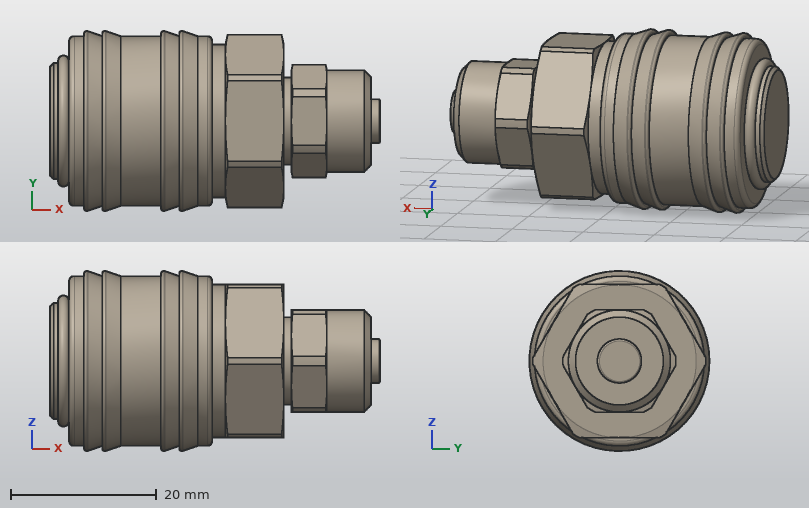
import cadquery as cq
import math


bead_start = 1.1
sleeve_start = 2.6
sleeve_end = 22.25
hex_start = 24.05
hex_end = 32.05
nut_start = 33.1
nut_hex_end = 37.95
nut_end = 44.02
stem_end = 45.24

cap_diameter = 15.95
cap_chamfer = 0.5
bead_diameter = 18.0
bead_radius = (sleeve_start - bead_start) / 2
bead_center = bead_start + bead_radius

sleeve_diameter = 23.3
sleeve_fillet = 0.7
rib_diameter = 24.73
rib_nose_radius = 0.4
rib_slope = math.radians(19)
rib_pitch = 2.5
rib_pair_starts = (4.65, 15.2)

collar_diameter = 21.0
hex_across_flats = 21.0
hex_corner_diameter = 23.73
hex_chamfer_length = 0.3
neck_diameter = 12.0
stem_diameter = 6.05
stem_fillet = 0.25

nut_diameter = 14.0
nut_hex_corner_diameter = 15.5
nut_hex_chamfer_length = 0.15
nut_end_chamfer = 0.97


def cylinder(start, end, diameter):
    """Solid cylinder on the X axis between two stations."""
    return cq.Workplane("YZ").workplane(offset=start).circle(diameter / 2).extrude(end - start)


def revolve_about_x(outline):
    """Revolve a closed outline, drawn as (station, radius), about the X axis."""
    return outline.close().revolve(360, (0, 0, 0), (1, 0, 0))


def hexagon(start, end, across_flats, corner_diameter, chamfer_length):
    """Hexagon with flats facing +Z and -Z, corners turned down and both ends coned."""
    corner_to_corner = across_flats / math.cos(math.pi / 6)
    prism = cq.Workplane("YZ").workplane(offset=start).polygon(6, corner_to_corner).extrude(end - start)
    flat_radius = across_flats / 2
    corner_radius = corner_diameter / 2
    turned_blank = revolve_about_x(
        cq.Workplane("XY")
        .moveTo(start, 0)
        .lineTo(start, flat_radius)
        .lineTo(start + chamfer_length, corner_radius)
        .lineTo(end - chamfer_length, corner_radius)
        .lineTo(end, flat_radius)
        .lineTo(end, 0)
    )
    return prism.intersect(turned_blank)


def bead():
    """Ring with a round crest that curls down onto the cap and meets the sleeve face."""
    cap_radius = cap_diameter / 2
    crest_radius = bead_diameter / 2
    center_radius = crest_radius - bead_radius
    foot_x = bead_center - math.sqrt(bead_radius**2 - (center_radius - cap_radius) ** 2)
    return revolve_about_x(
        cq.Workplane("XY")
        .moveTo(foot_x, 0)
        .lineTo(foot_x, cap_radius)
        .threePointArc((bead_center, crest_radius), (sleeve_start, center_radius))
        .lineTo(sleeve_start, 0)
    )


def grip_rib(start):
    """Saw-tooth ring: upright front, rounded nose, and a slope down to the sleeve."""
    nose_x = start + rib_nose_radius
    nose_r = rib_diameter / 2 - rib_nose_radius
    slope_top_x = nose_x + rib_nose_radius * math.sin(rib_slope)
    slope_top_r = nose_r + rib_nose_radius * math.cos(rib_slope)
    slope_end_x = slope_top_x + (slope_top_r - sleeve_diameter / 2) / math.tan(rib_slope)
    return revolve_about_x(
        cq.Workplane("XY")
        .moveTo(start, 0)
        .lineTo(start, nose_r)
        .threePointArc(
            (
                nose_x - rib_nose_radius * math.sin(math.pi / 4),
                nose_r + rib_nose_radius * math.cos(math.pi / 4),
            ),
            (nose_x, rib_diameter / 2),
        )
        .threePointArc(
            (
                nose_x + rib_nose_radius * math.sin(rib_slope / 2),
                nose_r + rib_nose_radius * math.cos(rib_slope / 2),
            ),
            (slope_top_x, slope_top_r),
        )
        .lineTo(slope_end_x, sleeve_diameter / 2)
        .lineTo(slope_end_x, 0)
    )


def grip_sleeve():
    """Round sleeve with rounded ends and two pairs of grip ribs."""
    sleeve = cylinder(sleeve_start, sleeve_end, sleeve_diameter).edges().fillet(sleeve_fillet)
    for pair_start in rib_pair_starts:
        for rib_start in (pair_start, pair_start + rib_pitch):
            sleeve = sleeve.union(grip_rib(rib_start))
    return sleeve


def neck_and_stem():
    """Neck that fills the nut's hexagon, and the thin stem that passes out of the nut."""
    neck = cylinder(hex_end, nut_hex_end, neck_diameter)
    stem = cylinder(nut_hex_end, stem_end, stem_diameter).edges(">X").fillet(stem_fillet)
    return neck.union(stem)


def make_coupling_body():
    cap = cylinder(0, bead_center, cap_diameter).edges("<X").chamfer(cap_chamfer)
    collar = cylinder(sleeve_end, hex_start, collar_diameter)
    wrench_hex = hexagon(hex_start, hex_end, hex_across_flats, hex_corner_diameter, hex_chamfer_length)
    body = cap
    for section in (bead(), grip_sleeve(), collar, wrench_hex, neck_and_stem()):
        body = body.union(section)
    return body


def make_clamp_nut():
    nut_hex = hexagon(
        nut_start, nut_hex_end, nut_diameter, nut_hex_corner_diameter, nut_hex_chamfer_length
    )
    barrel = cylinder(nut_hex_end, nut_end, nut_diameter).edges(">X").chamfer(nut_end_chamfer)
    neck_bore = cylinder(nut_start, nut_hex_end, neck_diameter)
    stem_bore = cylinder(nut_hex_end, nut_end, stem_diameter)
    return nut_hex.union(barrel).cut(neck_bore).cut(stem_bore)


coupling_body = make_coupling_body()
clamp_nut = make_clamp_nut()

result = cq.Compound.makeCompound([*coupling_body.solids().vals(), *clamp_nut.solids().vals()])